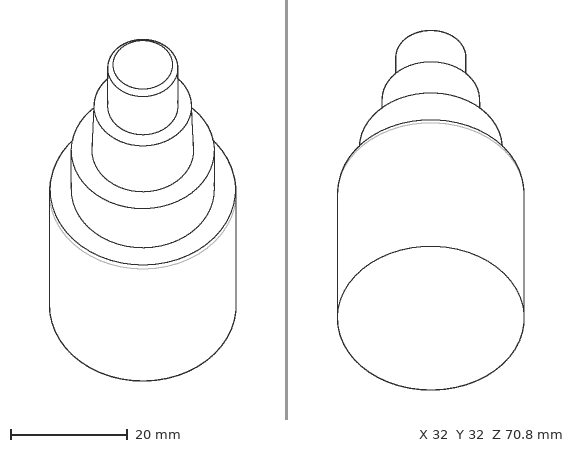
import cadquery as cq

TOTAL_HEIGHT = 70.75

BASE_RADIUS = 16.0
BASE_HEIGHT = 34.0
RIM_HEIGHT = 1.0
RIM_INSET = 0.15

COLLAR_RADIUS = 12.25
COLLAR_HEIGHT = 11.5
TAPER_BOTTOM_RADIUS = 8.7
TAPER_TOP_RADIUS = 8.35
TAPER_HEIGHT = 13.0
PIN_RADIUS = 6.0
PIN_CHAMFER = 0.9

COLLAR_TOP = BASE_HEIGHT + COLLAR_HEIGHT
TAPER_TOP = COLLAR_TOP + TAPER_HEIGHT


def revolve_profile(points):
    """Revolve a closed (radius, height) profile about the Z axis."""
    return cq.Workplane("XZ").polyline(points).close().revolve(360, (0, 0), (0, 1))


def make_base():
    """Solid cylinder whose rim narrows slightly toward the top face."""
    return revolve_profile([
        (0, 0),
        (BASE_RADIUS, 0),
        (BASE_RADIUS, BASE_HEIGHT - RIM_HEIGHT),
        (BASE_RADIUS - RIM_INSET, BASE_HEIGHT),
        (0, BASE_HEIGHT),
    ])


def make_stem():
    """Collar, tapered section and chamfered pin in one stepped solid."""
    return revolve_profile([
        (0, BASE_HEIGHT),
        (COLLAR_RADIUS, BASE_HEIGHT),
        (COLLAR_RADIUS, COLLAR_TOP),
        (TAPER_BOTTOM_RADIUS, COLLAR_TOP),
        (TAPER_TOP_RADIUS, TAPER_TOP),
        (PIN_RADIUS, TAPER_TOP),
        (PIN_RADIUS, TOTAL_HEIGHT - PIN_CHAMFER),
        (PIN_RADIUS - PIN_CHAMFER, TOTAL_HEIGHT),
        (0, TOTAL_HEIGHT),
    ])


base = make_base()
stem = make_stem()

result = cq.Compound.makeCompound([base.val(), stem.val()])